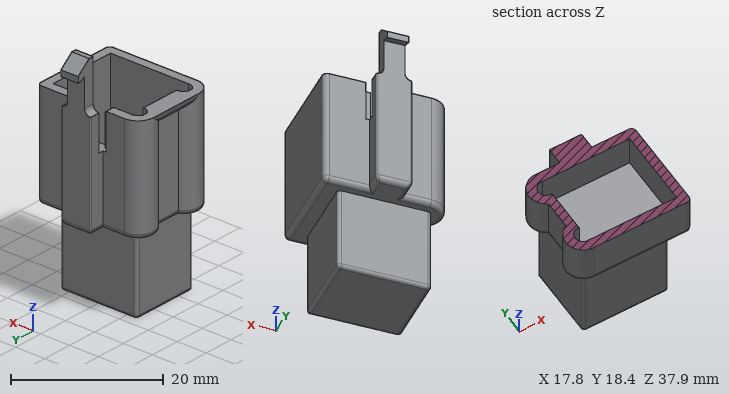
import cadquery as cq
import math

body_x = 17.8
body_y = 14.5
body_z = 17.5
wall = 1.5
lobe_radius = 2.7
corner_fillet = 0.75
base_fillet = 0.75

left = -body_x / 2
right = body_x / 2
front = -body_y / 2
back = body_y / 2
lobe_x = left + lobe_radius
lobe_y = back - lobe_radius

groove_depth = 1.5
groove_cap_rim = 0.1

inner_lobe_radius = lobe_radius - wall
floor_thickness = 1.5
groove_side_wall = 2.85
cavity_left = left + groove_side_wall

plug_x = 13.2
plug_y = 11.25
plug_z = 12.5
plug_left_inset = 2.0
plug_fillet = 0.5

rib_width = 5.0
rib_reach = 2.55
rib_fillet = 0.2
latch_thickness = 1.7
stem_width = 3.0
stem_rise = 7.9
flare_radius = (rib_width - stem_width) / 2
flare_drop = 0.1
hook_reach = 1.3
hook_top_flat = 0.8
hook_slope_drop = 1.8
hook_tip_height = 1.0
hook_undercut = 0.4

latch_outer = back + rib_reach
latch_inner = latch_outer - latch_thickness
latch_top = body_z + stem_rise
rib_top = body_z - flare_drop

slot_width = 6.0
slot_depth = 6.0
lip_length = 1.0
lip_thickness = 0.6
lip_drop = 0.8


def box(x0, x1, y0, y1, z0, z1):
    """Axis-aligned block between two opposite corners."""
    return cq.Workplane("XY").box(x1 - x0, y1 - y0, z1 - z0, centered=False).translate((x0, y0, z0))


def lobe_cylinder(y, radius, z0, z1):
    """Vertical cylinder on the axis of one lobe."""
    return cq.Workplane("XY").center(lobe_x, y).circle(radius).extrude(z1 - z0).translate((0, 0, z0))


def make_shell_blank():
    """Solid body with lobes, groove and latch rib, rounded round the underside."""
    blank = box(left, right, front, back, 0, body_z)
    blank = blank.edges("|Z and <X").fillet(lobe_radius)
    blank = blank.edges("|Z and >X").fillet(corner_fillet)

    groove = box(left, left + groove_depth, -lobe_y, lobe_y, 0, body_z)
    for y in (-lobe_y, lobe_y):
        groove = groove.cut(lobe_cylinder(y, lobe_radius, 0, body_z))
    blank = blank.cut(groove)

    rib = box(-rib_width / 2, rib_width / 2, back - wall, latch_outer, 0, rib_top)
    rib = rib.edges("|Z and >Y").fillet(rib_fillet)
    blank = blank.union(rib)
    return blank.faces("<Z").edges().fillet(base_fillet)


def make_groove_cap():
    """Quarter-round overhang that closes the top of the groove, under a narrow upright rim."""
    arc_top = body_z - groove_cap_rim
    arc_offset = groove_depth * math.sqrt(0.5)
    return (
        cq.Workplane("XZ", origin=(0, lobe_y, 0))
        .moveTo(left, body_z)
        .lineTo(left, arc_top)
        .threePointArc(
            (left + groove_depth - arc_offset, arc_top - arc_offset),
            (left + groove_depth, arc_top - groove_depth),
        )
        .lineTo(left + groove_depth, body_z)
        .close()
        .extrude(2 * lobe_y)
    )


def make_cavity():
    """Rectangular pocket with a round channel inside each lobe."""
    inner_back = back - wall
    cavity = box(cavity_left, right - wall, -inner_back, inner_back, floor_thickness, body_z)
    for y in (-lobe_y, lobe_y):
        cavity = cavity.union(lobe_cylinder(y, inner_lobe_radius, floor_thickness, body_z))
    return cavity


def make_slot():
    """Stepped opening in the +Y wall, with the gap that frees the latch arm."""
    half = slot_width / 2
    slot_floor = body_z - slot_depth
    inner_back = back - wall
    slot = box(-half, half, inner_back, latch_inner, slot_floor, body_z)
    for x0 in (-half, half - lip_length):
        lip = box(x0, x0 + lip_length, inner_back, inner_back + lip_thickness, slot_floor, body_z - lip_drop)
        slot = slot.cut(lip)
    return slot


def make_latch_stem():
    """Hooked stem above the rib, with concave flares at its foot."""
    tip_top = latch_top - hook_slope_drop
    tip_bottom = tip_top - hook_tip_height
    stem = (
        cq.Workplane("YZ", origin=(-stem_width / 2, 0, 0))
        .polyline([
            (latch_inner, rib_top),
            (latch_inner, latch_top),
            (latch_inner + hook_top_flat, latch_top),
            (latch_outer + hook_reach, tip_top),
            (latch_outer + hook_reach, tip_bottom),
            (latch_outer, tip_bottom + hook_undercut),
            (latch_outer, rib_top),
        ])
        .close()
        .extrude(stem_width)
    )
    foot = box(-rib_width / 2, rib_width / 2, latch_inner, latch_outer, rib_top, rib_top + flare_radius)
    foot = foot.edges("|Z and >Y").fillet(rib_fillet)
    for x in (-rib_width / 2, rib_width / 2):
        scoop = (
            cq.Workplane("XZ", origin=(0, latch_outer, 0))
            .center(x, rib_top + flare_radius)
            .circle(flare_radius)
            .extrude(latch_thickness)
        )
        foot = foot.cut(scoop)
    return stem.union(foot)


def make_plug():
    """Solid block under the body, rounded on its corners and lower end."""
    plug_left = left + plug_left_inset
    plug = box(plug_left, plug_left + plug_x, -plug_y / 2, plug_y / 2, -plug_z, 0)
    return plug.edges("|Z or <Z").fillet(plug_fillet)


result = (
    make_shell_blank()
    .union(make_groove_cap())
    .cut(make_cavity())
    .cut(make_slot())
    .union(make_latch_stem())
    .union(make_plug())
)